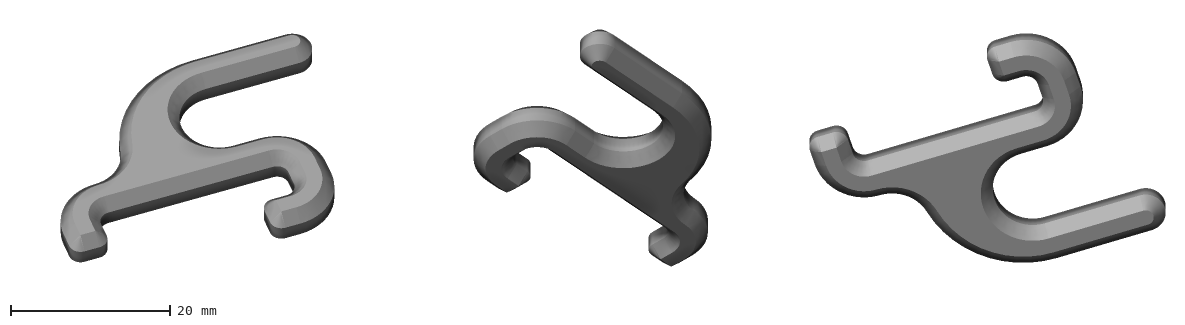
import cadquery as cq
import math

THICKNESS = 5.0
BAR_WIDTH = 5.0
BEVEL = 1.5
ARM_TOP = 40.0
BEND_Y = 25.0
THROAT_RADIUS = 5.0
INNER_BEND_RADIUS = 1.5
TIP_RADIUS = 1.5
BEND_STRAIGHT = 2.0
CLIP_OPENING = 25.0
BLEND_RADIUS = 5.0
BEVEL_ANGLE = 45.0

OUTER_BEND_RADIUS = INNER_BEND_RADIUS + BAR_WIDTH
ARM_RADIUS = BAR_WIDTH / 2
SPINE_LEFT = BAR_WIDTH + 2 * THROAT_RADIUS
SPINE_RIGHT = SPINE_LEFT + BAR_WIDTH
BEND_X = SPINE_LEFT + OUTER_BEND_RADIUS
LOWER_BEND_Y = OUTER_BEND_RADIUS
LOWER_TIP_X = BEND_X + BEND_STRAIGHT + TIP_RADIUS
UPPER_INNER_Y = BAR_WIDTH + CLIP_OPENING
UPPER_BEND_Y = UPPER_INNER_Y - INNER_BEND_RADIUS
CLIP_TOP = UPPER_INNER_Y + BAR_WIDTH
FAR_BEND_X = BEND_X + BEND_STRAIGHT
LIP_LEFT = FAR_BEND_X + INNER_BEND_RADIUS
LIP_RIGHT = FAR_BEND_X + OUTER_BEND_RADIUS

BOWL_DROP = BEND_Y - LOWER_BEND_Y
RADIUS_SUM = (SPINE_LEFT**2 + BOWL_DROP**2) / (2 * SPINE_LEFT)
BOWL_RADIUS = RADIUS_SUM - BLEND_RADIUS
BLEND_ANGLE = math.degrees(math.asin(BOWL_DROP / RADIUS_SUM))


def on_circle(center_x, center_y, radius, angle):
    """Point on a circle at an angle in radians from +X."""
    return (center_x + radius * math.cos(angle), center_y + radius * math.sin(angle))


def bend(path, center, radius, start_deg, end_deg):
    """Continue the path along an arc from its start angle to its end angle."""
    middle = math.radians((start_deg + end_deg) / 2)
    return path.threePointArc(
        on_circle(*center, radius, middle),
        on_circle(*center, radius, math.radians(end_deg)),
    )


def hook_outline():
    """Closed outline, clockwise from the lower left of the hook arm."""
    lip_corner_y = BEND_Y + TIP_RADIUS

    path = cq.Workplane("XY").moveTo(0, BEND_Y)
    path = path.lineTo(0, ARM_TOP - ARM_RADIUS)
    path = bend(path, (ARM_RADIUS, ARM_TOP - ARM_RADIUS), ARM_RADIUS, 180, 0)
    path = path.lineTo(BAR_WIDTH, BEND_Y)
    path = bend(path, (BAR_WIDTH + THROAT_RADIUS, BEND_Y), THROAT_RADIUS, 180, 360)
    path = path.lineTo(SPINE_LEFT, UPPER_BEND_Y)
    path = bend(path, (BEND_X, UPPER_BEND_Y), OUTER_BEND_RADIUS, 180, 90)
    path = path.lineTo(FAR_BEND_X, CLIP_TOP)
    path = bend(path, (FAR_BEND_X, UPPER_BEND_Y), OUTER_BEND_RADIUS, 90, 0)
    path = path.lineTo(LIP_RIGHT, lip_corner_y)
    path = bend(path, (LIP_RIGHT - TIP_RADIUS, lip_corner_y), TIP_RADIUS, 0, -90)
    path = path.lineTo(LIP_LEFT + TIP_RADIUS, BEND_Y)
    path = bend(path, (LIP_LEFT + TIP_RADIUS, lip_corner_y), TIP_RADIUS, 270, 180)
    path = path.lineTo(LIP_LEFT, UPPER_BEND_Y)
    path = bend(path, (FAR_BEND_X, UPPER_BEND_Y), INNER_BEND_RADIUS, 0, 90)
    path = path.lineTo(BEND_X, UPPER_INNER_Y)
    path = bend(path, (BEND_X, UPPER_BEND_Y), INNER_BEND_RADIUS, 90, 180)
    path = path.lineTo(SPINE_RIGHT, LOWER_BEND_Y)
    path = bend(path, (BEND_X, LOWER_BEND_Y), INNER_BEND_RADIUS, 180, 270)
    path = path.lineTo(LOWER_TIP_X - TIP_RADIUS, BAR_WIDTH)
    path = bend(path, (LOWER_TIP_X - TIP_RADIUS, BAR_WIDTH - TIP_RADIUS), TIP_RADIUS, 90, 0)
    path = path.lineTo(LOWER_TIP_X, TIP_RADIUS)
    path = bend(path, (LOWER_TIP_X - TIP_RADIUS, TIP_RADIUS), TIP_RADIUS, 0, -90)
    path = path.lineTo(BEND_X, 0)
    path = bend(path, (BEND_X, LOWER_BEND_Y), OUTER_BEND_RADIUS, 270, 180)
    path = bend(path, (SPINE_LEFT - BLEND_RADIUS, LOWER_BEND_Y), BLEND_RADIUS, 0, BLEND_ANGLE)
    path = bend(path, (BOWL_RADIUS, BEND_Y), BOWL_RADIUS, 180 + BLEND_ANGLE, 180)
    return path.close()


def upper_half():
    """Half of the part above its middle plane: a straight-sided band with a bevel on top."""
    band_height = THICKNESS / 2 - BEVEL
    band = hook_outline().extrude(band_height)
    bevel = hook_outline().extrude(BEVEL, taper=BEVEL_ANGLE).translate((0, 0, band_height))
    return band.union(bevel)


def hook():
    """Two mirrored halves joined at the middle plane, resting on Z = 0."""
    upper = upper_half()
    return upper.union(upper.mirror("XY")).clean().translate((0, 0, THICKNESS / 2))


result = hook()